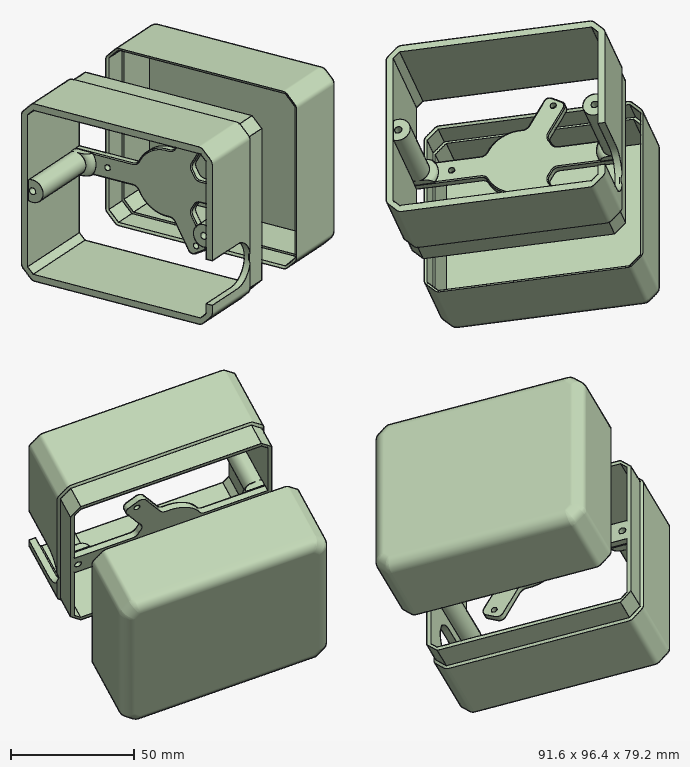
import cadquery as cq
import math

WIDTH = 91.6
HEIGHT = 79.2
SPREAD = 96.4
CORNER_CUT = 5.3
CORNER_BLEND = 3.0

BODY_LENGTH = 28.7
BOX_LENGTH = 39.5
LIP_LENGTH = BOX_LENGTH - BODY_LENGTH
LIP_INSET = 1.2
LIP_CUT = 4.6
STEP_RUN = 0.7
BOX_WALL = 3.0
BORE_CUT = 2.7

SPIDER_THICKNESS = 3.2
SPIDER_FRONT = BOX_LENGTH - SPIDER_THICKNESS
SPIDER_MIDDLE = BOX_LENGTH - SPIDER_THICKNESS / 2
SPIDER_SHIFT = 1.0
SPIDER_BEVEL = 0.5
DISC_RADIUS = 15.0
ARM_WIDTH = 9.8
ARM_ANGLE = 60.0
ARM_REACH = 31.4
TIP_BLEND = 2.5
ROOT_BLEND = 3.0
ROOT_ZONE = DISC_RADIUS + ARM_WIDTH / 2
ARM_HOLE_DIAMETER = 2.5
ARM_HOLE_RADIUS = 28.4

PILLAR_X = (-40.9, 41.3)
PILLAR_DIAMETER = 10.0
PILLAR_FRONT = 0.8
PILLAR_FOOT_BLEND = 3.0
PILLAR_HOLE_DIAMETER = 3.0

SLOT_RADIUS = 9.9
SLOT_Z = -19.7
SLOT_END = 29.0

COVER_LENGTH = 32.2
COVER_FRONT = SPREAD - COVER_LENGTH
COVER_WALL = 2.0
COVER_FLOOR = 2.0
BACK_BLEND = 5.0


def prism(inset, cut, y_start, y_end):
    """Rectangle with chamfered corners, inset from the outer size, swept along Y."""
    return (
        cq.Workplane("XZ", origin=(0, y_start, 0))
        .rect(WIDTH - 2 * inset, HEIGHT - 2 * inset)
        .extrude(y_start - y_end)
        .edges("|Y")
        .chamfer(cut)
    )


def sloped_prism(y_start, y_end):
    """Full-size prism whose rear end slopes in to the lip outline past y_end."""
    blank = prism(0, CORNER_CUT, y_start, y_end + STEP_RUN)
    blank = blank.edges("|Y").fillet(CORNER_BLEND)
    return blank.faces(">Y").chamfer(STEP_RUN, LIP_INSET)


def cylinder(x, z, diameter, y_start, y_end):
    return (
        cq.Workplane("XZ", origin=(x, y_start, z))
        .circle(diameter / 2)
        .extrude(y_start - y_end)
    )


def make_spider():
    bar = cq.Workplane("XY").box(WIDTH, SPIDER_THICKNESS, ARM_WIDTH).translate((0, SPIDER_MIDDLE, 0))
    arm = (
        cq.Workplane("XY")
        .box(ARM_REACH, SPIDER_THICKNESS, ARM_WIDTH)
        .edges("|Y and >X")
        .fillet(TIP_BLEND)
        .translate((ARM_REACH / 2, SPIDER_MIDDLE, 0))
    )
    spider = cylinder(SPIDER_SHIFT, 0, 2 * DISC_RADIUS, SPIDER_FRONT, BOX_LENGTH).union(bar)
    for angle in (ARM_ANGLE, -ARM_ANGLE):
        slanted = arm.rotate((0, 0, 0), (0, 1, 0), angle)
        spider = spider.union(slanted.translate((SPIDER_SHIFT, 0, 0)))
    roots = cq.selectors.BoxSelector(
        (-ROOT_ZONE, 0, -ROOT_ZONE),
        (ROOT_ZONE, SPREAD, ROOT_ZONE),
    )
    spider = spider.edges("|Y").edges(roots).fillet(ROOT_BLEND)
    return spider.faces("<Y").chamfer(SPIDER_BEVEL)


def make_pillar(x):
    """Round post with a flared foot, the flare being no wider than the bar behind it."""
    radius = PILLAR_DIAMETER / 2
    flare_start = SPIDER_FRONT - PILLAR_FOOT_BLEND
    foot = (
        cq.Workplane("XY")
        .moveTo(0, flare_start)
        .lineTo(radius, flare_start)
        .radiusArc((radius + PILLAR_FOOT_BLEND, SPIDER_FRONT), -PILLAR_FOOT_BLEND)
        .lineTo(0, SPIDER_FRONT)
        .close()
        .revolve(360, (0, 0, 0), (0, 1, 0))
        .translate((x, 0, 0))
    )
    bar_width_limit = cq.Workplane("XY").box(2 * WIDTH, 2 * SPREAD, ARM_WIDTH)
    post = cylinder(x, 0, PILLAR_DIAMETER, PILLAR_FRONT, SPIDER_FRONT)
    return post.union(foot.intersect(bar_width_limit))


def make_inner_frame():
    """Spider and pillars with their screw holes."""
    frame = make_spider()
    for x in PILLAR_X:
        frame = frame.union(make_pillar(x))
    for x in PILLAR_X:
        frame = frame.cut(cylinder(x, 0, PILLAR_HOLE_DIAMETER, 0, BOX_LENGTH))
    for angle in (ARM_ANGLE, 180, -ARM_ANGLE):
        x = SPIDER_SHIFT + ARM_HOLE_RADIUS * math.cos(math.radians(angle))
        z = ARM_HOLE_RADIUS * math.sin(math.radians(angle))
        frame = frame.cut(cylinder(x, z, ARM_HOLE_DIAMETER, 0, BOX_LENGTH))
    return frame


def make_cable_slot():
    arc_start = SLOT_END - SLOT_RADIUS
    return (
        cq.Workplane("YZ", origin=(WIDTH / 2 - BOX_WALL, 0, SLOT_Z))
        .moveTo(0, -SLOT_RADIUS)
        .lineTo(arc_start, -SLOT_RADIUS)
        .threePointArc((SLOT_END, 0), (arc_start, SLOT_RADIUS))
        .lineTo(0, SLOT_RADIUS)
        .close()
        .extrude(BOX_WALL)
    )


def make_box():
    shell = sloped_prism(0, BODY_LENGTH).union(prism(LIP_INSET, LIP_CUT, 0, BOX_LENGTH))
    bore = prism(BOX_WALL, BORE_CUT, 0, BOX_LENGTH)
    frame = make_inner_frame().intersect(bore)
    return shell.cut(bore).union(frame).cut(make_cable_slot())


def make_cover():
    cover = prism(0, CORNER_CUT, COVER_FRONT, SPREAD)
    cover = cover.faces(">Y").edges().fillet(BACK_BLEND)
    cover = cover.edges("|Y").fillet(CORNER_BLEND)
    cavity = prism(COVER_WALL, LIP_CUT, COVER_FRONT, SPREAD - COVER_FLOOR)
    lip_recess = prism(LIP_INSET, LIP_CUT, COVER_FRONT, COVER_FRONT + LIP_LENGTH)
    rim_slope = sloped_prism(0, COVER_FRONT)
    return cover.cut(cavity).cut(lip_recess).cut(rim_slope)


box = make_box()
cover = make_cover()
result = cq.Compound.makeCompound([box.val(), cover.val()])